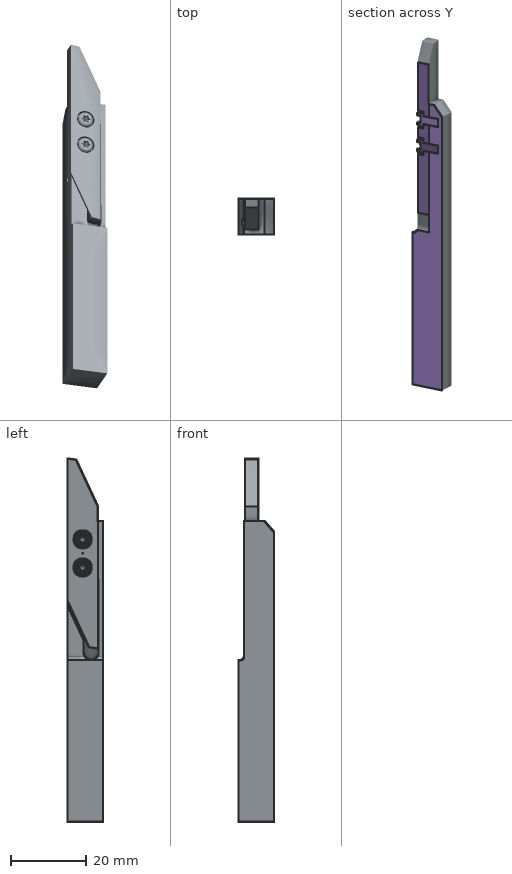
import cadquery as cq
import math

shank_width = 9.53
holder_height = 80.0
shoulder_height = 43.0
relief_step = 1.5
shoulder_radius = 1.0
end_chamfer_run = 2.6
end_chamfer_drop = 3.0

tip_height = 96.6
blade_centre_z = 71.35
blade_edge_y = 1.4
blade_left_x = 1.75
blade_right_x = 5.3
tip_width = 2.35
tip_slope = math.radians(8)
flank_angle = math.radians(25)

run_out_radius = 2.0
run_out_y = 3.2
run_out_z = 45.1
flank_clearance = 0.5

screw_spacing = 7.5
head_radius = 2.0
head_chamfer_width = 0.4
head_chamfer_depth = 0.3
head_height = 2.0
counterbore_radius = 2.4
thread_radius = 1.25
thread_end_x = 8.0
socket_depth = 1.0
socket_core_radius = 0.875
socket_point_angle = math.radians(120)
lobe_radius = 0.27
lobe_reach = 1.2
lobe_count = 6

mark_radius = 0.05
mark_depth = 0.1

blade_centre_y = (blade_edge_y + shank_width) / 2
blade_thickness = blade_right_x - blade_left_x
screw_heights = [blade_centre_z + side * screw_spacing / 2 for side in (-1, 1)]
head_top_x = relief_step
head_seat_x = head_top_x + head_height
tip_corner_y = shank_width - tip_width
tip_corner_z = tip_height - tip_width * math.tan(tip_slope)
flank_foot_z = tip_corner_z - (tip_corner_y - blade_edge_y) / math.tan(flank_angle)


def half_turn(point):
    """Turn a (y, z) point half a turn about the blade centre."""
    y, z = point
    return (2 * blade_centre_y - y, 2 * blade_centre_z - z)


def plane_at(x):
    """Plane across X with local axes along Y and Z."""
    return cq.Workplane("YZ", origin=(x, 0, 0))


def cylinder(radius, start_x, end_x, height):
    """Cylinder along X on the blade's centre line."""
    return plane_at(start_x).center(blade_centre_y, height).circle(radius).extrude(end_x - start_x)


def make_pocket():
    """Blade pocket with a round run-out below and clearance under the lower flank."""
    run_out_left = run_out_y + run_out_radius
    run_out_right = run_out_y - run_out_radius
    _, blade_flank_z = half_turn((blade_edge_y, flank_foot_z))
    flank_start_z = blade_flank_z - flank_clearance / math.sin(flank_angle)
    flank_end_z = flank_start_z - (shank_width - run_out_left) / math.tan(flank_angle)
    return (
        plane_at(0)
        .moveTo(blade_edge_y, holder_height)
        .lineTo(run_out_right, run_out_z)
        .threePointArc((run_out_y, run_out_z - run_out_radius), (run_out_left, run_out_z))
        .lineTo(run_out_left, flank_end_z)
        .lineTo(shank_width, flank_start_z)
        .lineTo(shank_width, holder_height)
        .close()
        .extrude(blade_right_x)
    )


def make_holder():
    arc_side = shoulder_radius * (1 - math.sqrt(0.5))
    holder = (
        cq.Workplane("XZ")
        .lineTo(shank_width, 0)
        .lineTo(shank_width, holder_height - end_chamfer_drop)
        .lineTo(shank_width - end_chamfer_run, holder_height)
        .lineTo(relief_step, holder_height)
        .lineTo(relief_step, shoulder_height + shoulder_radius)
        .threePointArc(
            (relief_step - arc_side, shoulder_height + arc_side),
            (relief_step - shoulder_radius, shoulder_height),
        )
        .lineTo(0, shoulder_height)
        .close()
        .extrude(-shank_width)
        .cut(make_pocket())
    )
    for height in screw_heights:
        holder = holder.cut(cylinder(thread_radius, blade_right_x, thread_end_x, height))
    return holder


def make_blade():
    upper_end = [
        (blade_edge_y, flank_foot_z),
        (tip_corner_y, tip_corner_z),
        (shank_width, tip_height),
    ]
    lower_end = [half_turn(point) for point in upper_end]
    blade = plane_at(blade_left_x).polyline(upper_end + lower_end).close().extrude(blade_thickness)
    for height in screw_heights:
        blade = blade.cut(cylinder(counterbore_radius, blade_left_x, head_seat_x, height))
        blade = blade.cut(cylinder(thread_radius, head_seat_x, blade_right_x, height))
    return blade.cut(cylinder(mark_radius, blade_left_x, blade_left_x + mark_depth, blade_centre_z))


def make_socket(height):
    """Six-lobed driver socket with a conical bottom."""
    floor_x = head_top_x + socket_depth
    socket = cylinder(socket_core_radius, head_top_x, floor_x, height)
    lobes = (
        plane_at(head_top_x)
        .center(blade_centre_y, height)
        .polarArray(lobe_reach - lobe_radius, 0, 360, lobe_count)
        .circle(lobe_radius)
        .extrude(socket_depth)
    )
    cone_depth = socket_core_radius / math.tan(socket_point_angle / 2)
    cone = cq.Solid.makeCone(
        socket_core_radius, 0, cone_depth, cq.Vector(floor_x, blade_centre_y, height), cq.Vector(1, 0, 0)
    )
    return socket.union(lobes).union(cq.Workplane(cone))


def make_screw(height):
    """Cap screw with a chamfered head, its top flush with the thinned face of the holder."""
    head = cylinder(head_radius, head_top_x, head_seat_x, height)
    head = head.faces("<X").edges().chamfer(head_chamfer_depth, head_chamfer_width)
    thread = cylinder(thread_radius, head_seat_x, thread_end_x, height)
    return head.union(thread).cut(make_socket(height))


holder = make_holder()
blade = make_blade()
screws = [make_screw(height) for height in screw_heights]

result = cq.Compound.makeCompound([holder.val(), blade.val(), *[screw.val() for screw in screws]])